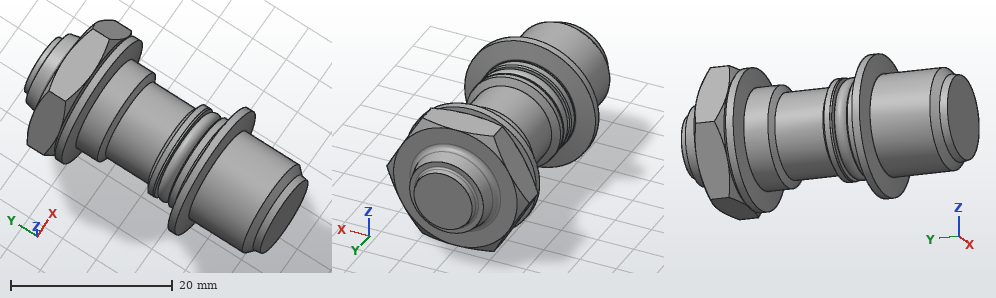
import cadquery as cq
import math

total_length = 36.1

body_radius = 6.5
barrel_radius = 6.45
barrel_end = 12.02
shaft_radius = 5.52
front_tip_radius = 5.35
front_tip_length = 0.97
front_chamfer_end = 1.9
shaft_start = 16.57
shaft_end = 23.0
shoulder_chamfer_length = 0.55

groove_start = 13.1
groove_end = 15.02
groove_floor_radius = shaft_radius
groove_lip_length = 0.25
groove_edge_chamfer = 0.18
ring_section_radius = 0.9
ring_station = 14.1

washer_radius = 9.03
washer_face_radius = 6.57
washer_thickness = 1.85
washer_rim_thickness = 1.0
front_washer_start = 9.9

nut_across_corners = 19.68
nut_across_flats = nut_across_corners * math.cos(math.radians(30))
nut_start = 28.6
nut_end = 32.6
nut_chamfer_angle = 30.0
rear_washer_start = nut_start - washer_thickness

cap_fillet = 0.72
cap_base_radius = 5.52
cap_top_radius = 5.1
cap_top = 35.15
tip_fillet = 0.25
tip_base_radius = 4.15
tip_top_radius = 4.0


def revolve_about_y(profile):
    """Close a half profile drawn as (radius, station) and turn it about the Y axis."""
    return profile.close().revolve(360, (0, 0, 0), (0, 1, 0))


def fillet_to_face(profile, radius, base_radius, face_station):
    """Draw a concave quarter arc from a flat face up onto a stem of the given radius."""
    to_middle = radius * (1 - math.sqrt(0.5))
    return profile.threePointArc(
        (base_radius + to_middle, face_station + to_middle),
        (base_radius, face_station + radius),
    )


def make_body():
    profile = (
        cq.Workplane("XY")
        .moveTo(0, 0)
        .lineTo(front_tip_radius, 0)
        .lineTo(shaft_radius, front_tip_length)
        .lineTo(barrel_radius, front_chamfer_end)
        .lineTo(barrel_radius, barrel_end)
        .lineTo(body_radius, barrel_end)
        .lineTo(body_radius, groove_start - groove_edge_chamfer)
        .lineTo(body_radius - groove_edge_chamfer, groove_start)
        .lineTo(groove_floor_radius, groove_start)
        .lineTo(groove_floor_radius, ring_station - ring_section_radius)
        .threePointArc(
            (groove_floor_radius + ring_section_radius, ring_station),
            (groove_floor_radius, ring_station + ring_section_radius),
        )
        .lineTo(groove_floor_radius, groove_end)
        .lineTo(barrel_radius, groove_end)
        .lineTo(barrel_radius, groove_end + groove_lip_length)
        .lineTo(body_radius, groove_end + groove_lip_length)
        .lineTo(body_radius, shaft_start - shoulder_chamfer_length)
        .lineTo(shaft_radius, shaft_start)
        .lineTo(shaft_radius, shaft_end)
        .lineTo(body_radius, shaft_end + shoulder_chamfer_length)
        .lineTo(body_radius, nut_start)
        .lineTo(0, nut_start)
    )
    return revolve_about_y(profile)


def make_washer(start):
    end = start + washer_thickness
    cone_height = (washer_thickness - washer_rim_thickness) / 2
    profile = (
        cq.Workplane("XY")
        .moveTo(0, start)
        .lineTo(washer_face_radius, start)
        .lineTo(washer_radius, start + cone_height)
        .lineTo(washer_radius, end - cone_height)
        .lineTo(washer_face_radius, end)
        .lineTo(0, end)
    )
    return revolve_about_y(profile)


def make_nut():
    hexagon = (
        cq.Workplane("XZ", origin=(0, nut_start, 0))
        .polygon(6, nut_across_corners)
        .extrude(nut_start - nut_end)
    )
    face_radius = nut_across_flats / 2
    corner_radius = nut_across_corners / 2
    corner_drop = (corner_radius - face_radius) * math.tan(math.radians(nut_chamfer_angle))
    envelope_radius = 2 * corner_radius - face_radius
    envelope_drop = 2 * corner_drop
    envelope = (
        cq.Workplane("XY")
        .moveTo(0, nut_start)
        .lineTo(face_radius, nut_start)
        .lineTo(envelope_radius, nut_start + envelope_drop)
        .lineTo(envelope_radius, nut_end - envelope_drop)
        .lineTo(face_radius, nut_end)
        .lineTo(0, nut_end)
    )
    return hexagon.intersect(revolve_about_y(envelope))


def make_cap():
    profile = cq.Workplane("XY").moveTo(0, nut_end).lineTo(cap_base_radius + cap_fillet, nut_end)
    profile = fillet_to_face(profile, cap_fillet, cap_base_radius, nut_end)
    profile = profile.lineTo(cap_top_radius, cap_top).lineTo(tip_base_radius + tip_fillet, cap_top)
    profile = fillet_to_face(profile, tip_fillet, tip_base_radius, cap_top)
    profile = profile.lineTo(tip_top_radius, total_length).lineTo(0, total_length)
    return revolve_about_y(profile)


result = (
    make_body()
    .union(make_washer(front_washer_start))
    .union(make_washer(rear_washer_start))
    .union(make_nut())
    .union(make_cap())
)